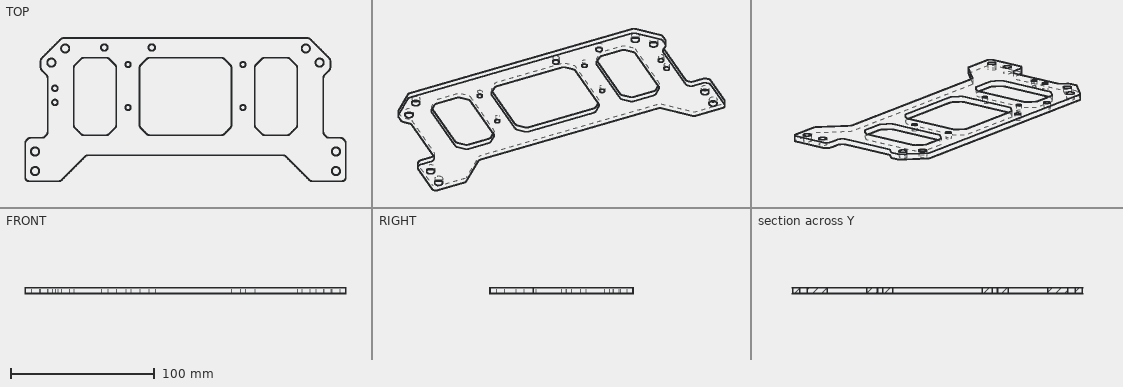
import cadquery as cq

length = 223.5
depth = 100.0
thickness = 4.0

foot_half = length / 2
ear_half = 101.0
body_half = 96.1
foot_inner_half = 87.2

bridge_bottom = 18.0
foot_top = 30.5
ear_bottom = 78.3

ear_chamfer = 15.0
foot_chamfer = 2.7
foot_root_chamfer = 2.7
corner_radius = 3.0

window_bottom = 32.2
window_top = 86.0
window_chamfer = 5.8
center_window_half = 32.0
side_window_inner = 48.3
side_window_outer = 77.8

mount_diameter = 5.5
foot_hole_x = 104.9
foot_hole_heights = (7.2, 20.8)
ear_holes = ((93.5, 82.7), (83.8, 92.5))
rib_hole_diameter = 3.5
rib_hole_x = 40.0
rib_hole_heights = (51.5, 81.5)
side_hole_diameter = 3.8
side_holes = ((-91.0, 55.0), (-91.0, 64.8))
top_hole_diameter = 4.5
top_holes = ((-56.5, 93.2), (-23.5, 93.2))


def mirrored(points):
    """Return the points together with their mirror images about X = 0."""
    return [(side * x, y) for side in (-1, 1) for x, y in points]


def make_plate():
    """Build the mirrored outline with every corner slightly rounded."""
    ear_step = ear_half - body_half
    right_side = [
        (foot_inner_half - bridge_bottom, bridge_bottom),
        (foot_inner_half, 0),
        (foot_half, 0),
        (foot_half, foot_top - foot_chamfer),
        (foot_half - foot_chamfer, foot_top),
        (body_half + foot_root_chamfer, foot_top),
        (body_half, foot_top + foot_root_chamfer),
        (body_half, ear_bottom - ear_step),
        (ear_half, ear_bottom),
        (ear_half, depth - ear_chamfer),
        (ear_half - ear_chamfer, depth),
    ]
    left_side = [(-x, y) for x, y in reversed(right_side)]
    plate = cq.Workplane("XY").polyline(right_side + left_side).close().extrude(thickness)
    return plate.edges("|Z").fillet(corner_radius)


def make_window(x_start, x_end):
    """Build a rectangular cutter with chamfered corners whose ends are rounded."""
    width = x_end - x_start
    height = window_top - window_bottom
    return (
        cq.Workplane("XY")
        .center((x_start + x_end) / 2, (window_bottom + window_top) / 2)
        .rect(width, height)
        .extrude(thickness)
        .edges("|Z")
        .chamfer(window_chamfer)
        .edges("|Z")
        .fillet(corner_radius)
    )


def make_holes(centers, diameter):
    """Build round cutters through the plate at the given centres."""
    return cq.Workplane("XY").pushPoints(centers).circle(diameter / 2).extrude(thickness)


foot_holes = [(foot_hole_x, y) for y in foot_hole_heights]
rib_holes = [(rib_hole_x, y) for y in rib_hole_heights]

cutouts = [
    make_window(-side_window_outer, -side_window_inner),
    make_window(-center_window_half, center_window_half),
    make_window(side_window_inner, side_window_outer),
    make_holes(mirrored(foot_holes), mount_diameter),
    make_holes(mirrored(ear_holes), mount_diameter),
    make_holes(mirrored(rib_holes), rib_hole_diameter),
    make_holes(side_holes, side_hole_diameter),
    make_holes(top_holes, top_hole_diameter),
]

result = make_plate()
for cutout in cutouts:
    result = result.cut(cutout)